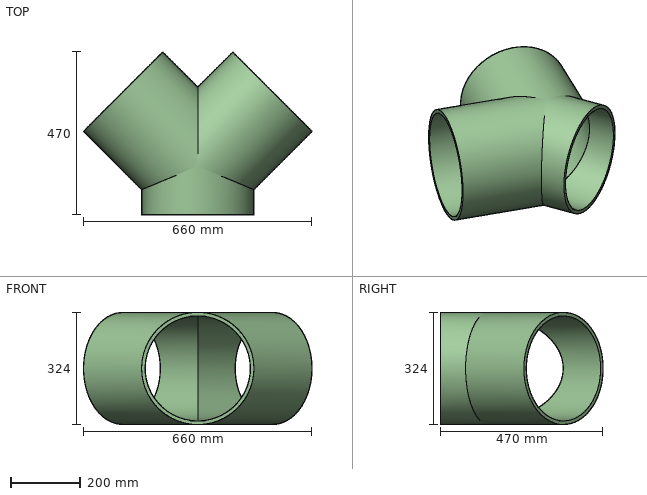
import cadquery as cq
import math

overall_width = 660.0
outer_diameter = 324.0
bore_diameter = 303.0
inlet_length = 140.0
branch_angle = 45.0

angle = math.radians(branch_angle)
half_mouth_width = outer_diameter / 2 * math.cos(angle)
branch_length = (overall_width / 2 - half_mouth_width) / math.sin(angle)


def cylinder_from_junction(diameter, length, direction):
    """Solid cylinder starting where the three pipe axes meet."""
    return cq.Workplane(
        cq.Solid.makeCylinder(diameter / 2, length, cq.Vector(0, 0, 0), cq.Vector(*direction))
    )


def wye(diameter):
    """Inlet along -Y joined to two branches that lean towards +X and -X."""
    body = cylinder_from_junction(diameter, inlet_length, (0, -1, 0))
    for side in (-1, 1):
        direction = (side * math.sin(angle), math.cos(angle), 0)
        body = body.union(cylinder_from_junction(diameter, branch_length, direction))
    return body


result = wye(outer_diameter).cut(wye(bore_diameter))